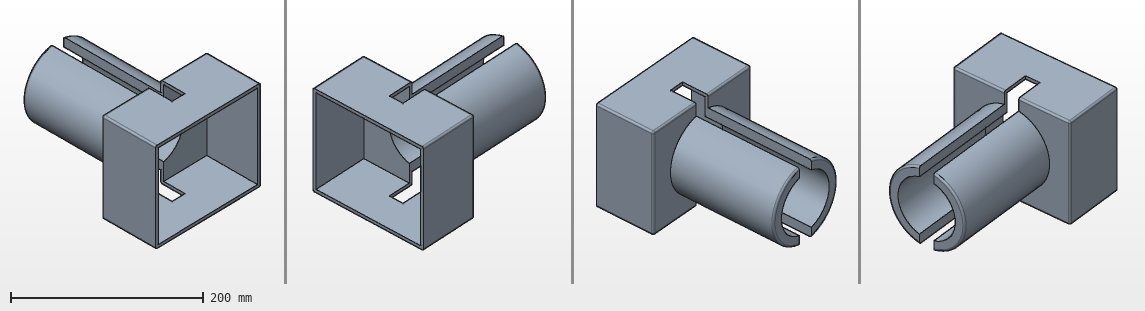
import cadquery as cq

total_length = 219.2
box_length = 78.0
box_width = 156.0
box_height = 133.0
wall = 4.4
edge_radius = 2.5

tube_diameter = 101.5
bore_diameter = 76.3

slot_width = 19.0
slot_end_to_open_side = 43.0

tube_length = total_length - box_length
inner_wall_x = tube_length + wall
slot_length = total_length - slot_end_to_open_side


def block(start_x, length, width, height):
    """Block centred on the tube axis, running from start_x toward +X."""
    return cq.Workplane("XY").box(length, width, height, centered=(False, True, True)).translate((start_x, 0, 0))


def cylinder(diameter, length):
    """Cylinder on the tube axis, running from the tube tip toward +X."""
    return cq.Workplane("YZ").circle(diameter / 2).extrude(length)


def rounded_box():
    """Solid box with every edge rounded except those around its open side."""
    box = block(tube_length, box_length, box_width, box_height)
    return box.edges("|X or <X").fillet(edge_radius)


def rounded_tube():
    """Solid tube body with a rounded outer rim, ending inside the box front wall."""
    return cylinder(tube_diameter, inner_wall_x).faces("<X").edges().fillet(edge_radius)


cavity = block(
    inner_wall_x,
    total_length - inner_wall_x,
    box_width - 2 * wall,
    box_height - 2 * wall,
)
bore = cylinder(bore_diameter, inner_wall_x)
slot = block(0, slot_length, slot_width, box_height)

result = rounded_box().union(rounded_tube()).cut(cavity).cut(bore).cut(slot)